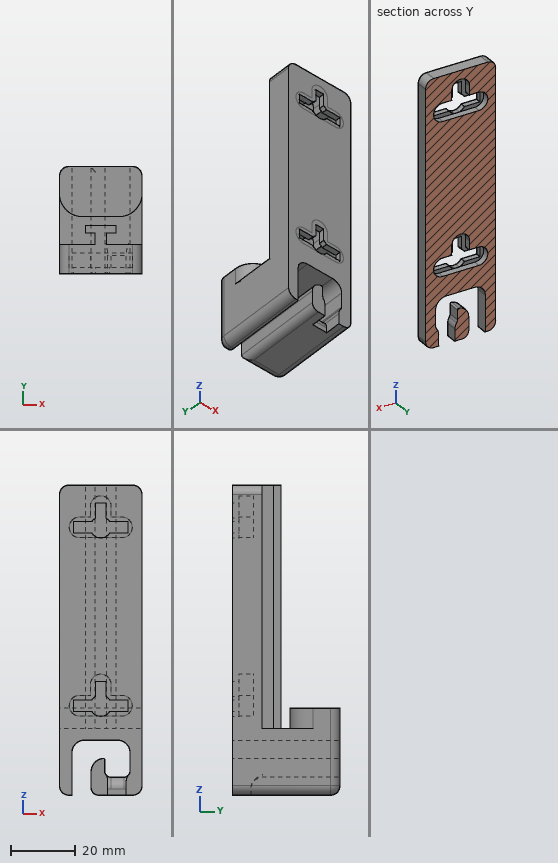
import cadquery as cq
import math

width = 25.71
depth = 33.41
height = 96.4
corner_radius = 3.0

plate_thickness = 9.1
rail_stem_width = 3.5
rail_flange_width = 9.5
rail_flange_start = 12.8
rail_flange_end = 15.1
ledge_height = 20.8
block_height = 27.1
block_front = 17.8
block_corner_radius = 7.2

keyhole_heights = (27.85, 83.25)
lip_thickness = 2.0
cavity_depth = 6.5
cavity_half_width = 3.2
cavity_reach = 6.6
head_hole_radius = 3.3
slot_width = 3.6
slot_reach = 8.4
upper_slot_width = 3.25
upper_slot_reach = 7.5

passage_left = -8.9
passage_right = 9.05
passage_top = 17.1
passage_top_radius = 3.8
hook_left = -3.05
hook_right = 1.25
hook_bottom_radius = 2.5
hook_shoulder_radius = hook_right - hook_left
hook_shoulder_height = 7.25
hook_tip_radius = 0.5
cradle_floor = 5.65
cradle_radius = 1.9

notch_left = 2.15
notch_right = 7.9
notch_depth = 5.7
notch_edge_radius = 3.7

half_width = width / 2


def box(x_range, y_range, z_range):
    """Axis-aligned box between the given limits."""
    return cq.Workplane("XY").box(
        x_range[1] - x_range[0],
        y_range[1] - y_range[0],
        z_range[1] - z_range[0],
        centered=False,
    ).translate((x_range[0], y_range[0], z_range[0]))


def front_plane():
    """Plane facing the front, with local +X along X and local +Y along Z."""
    return cq.Workplane("XZ")


def make_body():
    """Plate, foot and rear block with their rounded outer edges."""
    side_limits = (-half_width, half_width)
    plate = box(side_limits, (0, plate_thickness), (0, height))
    foot = box(side_limits, (0, depth), (0, ledge_height))
    body = plate.union(foot)
    body = body.edges("|Y and >Z").fillet(corner_radius)

    block = box(side_limits, (block_front, depth), (0, block_height))
    block = block.edges("|Z and <Y").fillet(block_corner_radius)
    body = body.union(block)
    rounded_edges = body.edges("(|Z and >Y) or (|Y and <Z) or (|X and >Y and <Z)")
    return rounded_edges.fillet(corner_radius)


def make_rail():
    """T-shaped rail standing on the ledge behind the plate."""
    rail_limits = (ledge_height, height)
    half_stem = rail_stem_width / 2
    half_flange = rail_flange_width / 2
    stem = box((-half_stem, half_stem), (plate_thickness, rail_flange_end), rail_limits)
    flange = box((-half_flange, half_flange), (rail_flange_start, rail_flange_end), rail_limits)
    return stem.union(flange)


def make_passage():
    """Cable passage, drawn around the hook that it leaves standing."""
    tip_center_x = hook_right - hook_tip_radius
    center_distance = hook_shoulder_radius - hook_tip_radius
    tip_rise = math.sqrt(center_distance**2 - hook_tip_radius**2)
    tip_center_z = hook_shoulder_height + tip_rise
    touch_angle = math.atan2(tip_rise, tip_center_x - hook_right)
    touch_point = (
        hook_right + hook_shoulder_radius * math.cos(touch_angle),
        hook_shoulder_height + hook_shoulder_radius * math.sin(touch_angle),
    )
    profile = (
        front_plane()
        .moveTo(passage_left, 0)
        .lineTo(passage_left, passage_top - passage_top_radius)
        .radiusArc((passage_left + passage_top_radius, passage_top), passage_top_radius)
        .lineTo(passage_right - passage_top_radius, passage_top)
        .radiusArc((passage_right, passage_top - passage_top_radius), passage_top_radius)
        .lineTo(passage_right, cradle_floor + cradle_radius)
        .radiusArc((passage_right - cradle_radius, cradle_floor), cradle_radius)
        .lineTo(hook_right + cradle_radius, cradle_floor)
        .radiusArc((hook_right, cradle_floor + cradle_radius), cradle_radius)
        .lineTo(hook_right, tip_center_z)
        .radiusArc(touch_point, -hook_tip_radius)
        .radiusArc((hook_left, hook_shoulder_height), -hook_shoulder_radius)
        .lineTo(hook_left, hook_bottom_radius)
        .radiusArc((hook_left + hook_bottom_radius, 0), -hook_bottom_radius)
        .close()
    )
    return profile.extrude(-depth)


def make_notch():
    """Sharp-edged notch through the front of the cradle floor."""
    return box((notch_left, notch_right), (0, notch_depth), (0, hook_shoulder_height))


def make_cavity():
    """T-shaped cavity with rounded ends, centred on the keyhole at Z = 0."""
    length = 2 * (cavity_reach + cavity_half_width)
    arms = front_plane().slot2D(length, 2 * cavity_half_width).extrude(-cavity_depth)
    upper = (
        front_plane()
        .center(0, cavity_reach / 2)
        .slot2D(cavity_reach + 2 * cavity_half_width, 2 * cavity_half_width, 90)
        .extrude(-cavity_depth)
    )
    return arms.union(upper)


def make_opening():
    """Head hole with three narrow slots, cut through the lip of a keyhole."""
    half_slot = slot_width / 2
    half_upper_slot = upper_slot_width / 2
    lip_limits = (0, lip_thickness)
    head_hole = front_plane().circle(head_hole_radius).extrude(-lip_thickness)
    arms = box((-slot_reach, slot_reach), lip_limits, (-half_slot, half_slot))
    upper = box((-half_upper_slot, half_upper_slot), lip_limits, (0, upper_slot_reach))
    return head_hole.union(arms).union(upper)


def make_lip():
    """Slotted lip that closes the front of a cavity, flush with the plate."""
    behind_lip = box((-width, width), (lip_thickness, depth), (-height, height))
    return make_cavity().cut(behind_lip).cut(make_opening())


def round_notch_edges(body):
    """Round the upper edges of the notch on its two sides and along its rear wall."""
    margin = 0.05
    edge_zone = cq.selectors.BoxSelector(
        (notch_left - margin, -margin, cradle_floor - margin),
        (notch_right + margin, notch_depth + margin, cradle_floor + cradle_radius),
        boundingbox=True,
    )
    return body.edges(edge_zone).fillet(notch_edge_radius)


result = make_body().union(make_rail()).cut(make_passage()).cut(make_notch())
result = round_notch_edges(result)
keyhole_cut = make_cavity().union(make_opening())
keyhole_lip = make_lip()
for keyhole_height in keyhole_heights:
    result = result.cut(keyhole_cut.translate((0, 0, keyhole_height)))
for keyhole_height in keyhole_heights:
    result = result.union(keyhole_lip.translate((0, 0, keyhole_height)), clean=False)